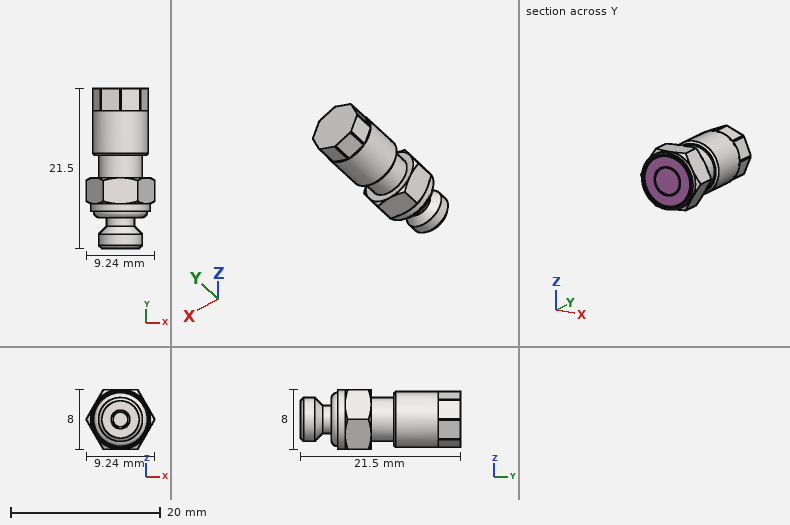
import cadquery as cq
import math

LENGTH = 21.5

HEAD_RADIUS = 2.95
HEAD_CHAMFER = 0.45
HEAD_CYLINDER_LENGTH = 1.5
PLUG_NECK_RADIUS = 1.9
PLUG_CONE_START = HEAD_CHAMFER + HEAD_CYLINDER_LENGTH
PLUG_CONE_END = PLUG_CONE_START + (HEAD_RADIUS - PLUG_NECK_RADIUS)

HOLE_RADIUS = 1.0
HOLE_DEPTH = 0.75
COUNTERSINK = 0.25

FLANGE_START = 5.0
FLANGE_LENGTH = 1.0
NUT_SIDES = 6
NUT_ACROSS_FLATS = 8.0
NUT_LENGTH = 3.5
NUT_CHAMFER_ANGLE = 30.0
NUT_START = FLANGE_START + FLANGE_LENGTH
NUT_END = NUT_START + NUT_LENGTH
FLANGE_RADIUS = NUT_ACROSS_FLATS / 2

RING_SECTION_RADIUS = 0.87
RING_OUTER_RADIUS = 3.62
RING_CENTRE_RADIUS = RING_OUTER_RADIUS - RING_SECTION_RADIUS
SEAT_MOUTH_RADIUS = 3.82
SEAT_FLOOR_RADIUS = 3.6
SEAT_DEPTH = 0.6

SHANK_RADIUS = HEAD_RADIUS
SLEEVE_RADIUS = 3.75
SLEEVE_START = 12.5
SLEEVE_CHAMFER = 0.3
RELIEF_RADIUS = 3.22
RELIEF_DEPTH = 1.5

OCTAGON_SIDES = 8
OCTAGON_ACROSS_FLATS = 7.0
OCTAGON_LENGTH = 3.0


def revolve_profile(points):
    """Revolve a closed (radius, Y) outline about the Y axis."""
    outline = cq.Workplane("XY").polyline(points).close()
    return outline.revolve(360, (0, 0, 0), (0, 1, 0))


def prism(sides, across_flats, start, length):
    """Regular prism along +Y, with one corner on the +X side."""
    across_corners = across_flats / math.cos(math.pi / sides)
    bar = cq.Workplane("XZ").polygon(sides, across_corners).extrude(-length)
    return bar.translate((0, start, 0))


def make_plug():
    return revolve_profile([
        (0, 0),
        (HEAD_RADIUS - HEAD_CHAMFER, 0),
        (HEAD_RADIUS, HEAD_CHAMFER),
        (HEAD_RADIUS, PLUG_CONE_START),
        (PLUG_NECK_RADIUS, PLUG_CONE_END),
        (PLUG_NECK_RADIUS, NUT_START),
        (0, NUT_START),
    ])


def make_head_hole():
    return revolve_profile([
        (0, 0),
        (HOLE_RADIUS + COUNTERSINK, 0),
        (HOLE_RADIUS, COUNTERSINK),
        (HOLE_RADIUS, HOLE_DEPTH),
        (0, HOLE_DEPTH),
    ])


def make_flange():
    return revolve_profile([
        (0, FLANGE_START + SEAT_DEPTH),
        (SEAT_FLOOR_RADIUS, FLANGE_START + SEAT_DEPTH),
        (SEAT_MOUTH_RADIUS, FLANGE_START),
        (FLANGE_RADIUS, FLANGE_START),
        (FLANGE_RADIUS, NUT_START),
        (0, NUT_START),
    ])


def make_ring():
    """Torus about the Y axis; the revolve axis is given relative to the section centre."""
    section = cq.Workplane("XY").center(-RING_CENTRE_RADIUS, FLANGE_START).circle(RING_SECTION_RADIUS)
    return section.revolve(360, (RING_CENTRE_RADIUS, 0, 0), (RING_CENTRE_RADIUS, 1, 0))


def make_nut():
    """Hexagon whose corners are chamfered by a cone at both ends."""
    flat_radius = NUT_ACROSS_FLATS / 2
    corner_radius = flat_radius / math.cos(math.pi / NUT_SIDES)
    drop = (corner_radius - flat_radius) * math.tan(math.radians(NUT_CHAMFER_ANGLE))
    envelope = revolve_profile([
        (0, NUT_START),
        (flat_radius, NUT_START),
        (corner_radius, NUT_START + drop),
        (corner_radius, NUT_END - drop),
        (flat_radius, NUT_END),
        (0, NUT_END),
    ])
    return prism(NUT_SIDES, NUT_ACROSS_FLATS, NUT_START, NUT_LENGTH).intersect(envelope)


def make_sleeve():
    """Shank and sleeve; the far end is an octagon with corners rounded to the sleeve radius."""
    octagon_start = LENGTH - OCTAGON_LENGTH
    body = revolve_profile([
        (0, NUT_END),
        (SHANK_RADIUS, NUT_END),
        (SHANK_RADIUS, SLEEVE_START + RELIEF_DEPTH),
        (RELIEF_RADIUS, SLEEVE_START + RELIEF_DEPTH),
        (RELIEF_RADIUS, SLEEVE_START),
        (SLEEVE_RADIUS - SLEEVE_CHAMFER, SLEEVE_START),
        (SLEEVE_RADIUS, SLEEVE_START + SLEEVE_CHAMFER),
        (SLEEVE_RADIUS, octagon_start),
        (0, octagon_start),
    ])
    end_plane = cq.Workplane("XZ", origin=(0, octagon_start, 0))
    round_end = end_plane.circle(SLEEVE_RADIUS).extrude(-OCTAGON_LENGTH)
    octagon = prism(OCTAGON_SIDES, OCTAGON_ACROSS_FLATS, octagon_start, OCTAGON_LENGTH)
    return body.union(octagon.intersect(round_end))


result = make_plug().cut(make_head_hole())
result = result.union(make_flange()).union(make_ring())
result = result.union(make_nut()).union(make_sleeve())